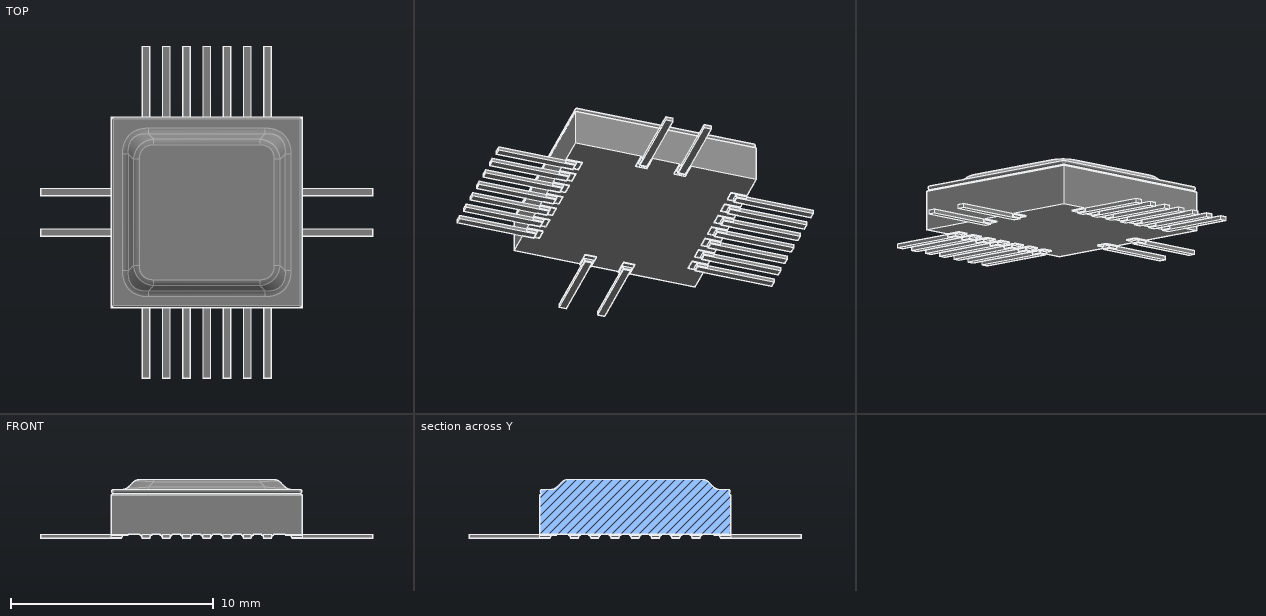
import cadquery as cq
import math

span = 16.4
lead_width = 0.38
lead_thickness = 0.2
lead_pitch = 1.0
lead_inset = 0.51
leads_along_x_sides = 2
leads_along_y_sides = 7

pad_width = 0.59
pad_length = 0.84
pad_thickness = 0.05
solder_margin = 0.02
solder_flare = 0.05
solder_lift = 0.05

body_side = 9.43
body_bevel = 0.08
lid_side = 9.4
lid_bottom = 2.21
lid_thickness = 0.2
lid_edge_radius = lid_thickness / 2
lid_top = lid_bottom + lid_thickness
body_height = lid_bottom - lead_thickness

dome_foot_side = 7.99
dome_height = 0.5
dome_wall_angle = 45
dome_corner_radius = 1.41
dome_blend_radius = 0.41


def make_body():
    body = cq.Workplane("XY").workplane(offset=lead_thickness).rect(body_side, body_side).extrude(body_height)
    return body.faces(">Z").chamfer(body_bevel)


def make_lid():
    """Plate with half-round edges and ball corners."""
    inner_side = lid_side - 2 * lid_edge_radius
    middle = cq.Workplane("XY").workplane(offset=lid_bottom + lid_edge_radius)
    lid = middle.box(inner_side, inner_side, lid_thickness)
    edge_bar = (
        cq.Workplane("YZ")
        .center(inner_side / 2, lid_bottom + lid_edge_radius)
        .circle(lid_edge_radius)
        .extrude(inner_side / 2, both=True)
    )
    corner_ball = middle.center(inner_side / 2, inner_side / 2).sphere(lid_edge_radius)
    for turn in range(4):
        angle = 90 * turn
        lid = lid.union(edge_bar.rotate((0, 0, 0), (0, 0, 1), angle))
        lid = lid.union(corner_ball.rotate((0, 0, 0), (0, 0, 1), angle))
    return lid


def add_dome(base):
    dome = (
        cq.Workplane("XY")
        .workplane(offset=lid_top)
        .rect(dome_foot_side, dome_foot_side)
        .extrude(dome_height, taper=dome_wall_angle)
    )
    dome = dome.edges("not(#Z)").fillet(dome_corner_radius)
    dome = dome.faces(">Z").edges().fillet(dome_blend_radius)
    reach = dome_foot_side / 2 + lid_edge_radius
    joined = base.union(dome)
    foot_zone = cq.selectors.BoxSelector(
        (-reach, -reach, lid_top - lid_edge_radius / 2),
        (reach, reach, lid_top + lid_edge_radius / 2),
    )
    return joined.edges(foot_zone).fillet(dome_blend_radius)


def make_lead():
    """One lead on the +X side with its pad and solder, centred on the X axis."""
    body_edge = body_side / 2
    lead_start = body_edge - lead_inset
    lead = cq.Workplane("XY").box(
        span / 2 - lead_start, lead_width, lead_thickness, centered=(False, True, False)
    ).translate((lead_start, 0, 0))

    pad = cq.Workplane("XY").box(
        pad_length, pad_width, pad_thickness, centered=(False, True, False)
    ).translate((body_edge - pad_length, 0, lead_thickness - pad_thickness))

    solder_height = lead_thickness - pad_thickness - solder_lift
    solder = (
        cq.Workplane("XY")
        .workplane(offset=solder_lift)
        .center(body_edge, 0)
        .rect(2 * (lead_inset + solder_margin), lead_width + 2 * solder_margin)
        .extrude(solder_height, taper=-math.degrees(math.atan2(solder_flare, solder_height)))
    )
    inside_body = cq.Workplane("XY").box(body_side, body_side, 2 * lead_thickness)
    return lead.union(pad).union(solder.intersect(inside_body))


def add_lead_row(base, count, pitch, angle):
    lead = make_lead()
    for index in range(count):
        offset = (index - (count - 1) / 2) * pitch
        base = base.union(lead.translate((0, offset, 0)).rotate((0, 0, 0), (0, 0, 1), angle))
    return base


result = add_dome(make_body().union(make_lid()))
for side_angle in (0, 180):
    result = add_lead_row(result, leads_along_x_sides, 2 * lead_pitch, side_angle)
    result = add_lead_row(result, leads_along_y_sides, lead_pitch, side_angle + 90)